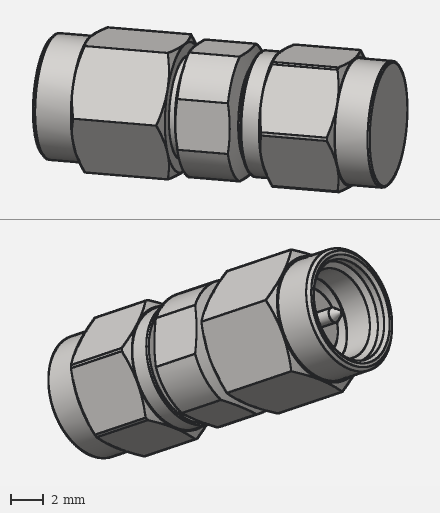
import cadquery as cq
import math

LENGTH = 21.65
FRONT_HEX_START = 2.53
FRONT_HEX_END = 8.57
COLLAR_START = 8.95
COLLAR_END = 13.01
REAR_SLEEVE_START = 13.34
REAR_HEX_START = 14.6
REAR_HEX_END = 19.45

SLEEVE_RADIUS = 3.9
FRONT_LIP_CHAMFER = 0.22
REAR_LIP_CHAMFER = 0.1
FRONT_HEX_FLATS = 8.0
REAR_HEX_FLATS = 7.9
REAR_HEX_CORNER_RADIUS = 4.5
HEX_CHAMFER_ANGLE = 30.0

NECK_RADIUS = 3.18
COLLAR_RADIUS = 4.27
COLLAR_FLATS = 7.9
COLLAR_CHAMFER = 0.41

MOUTH_RADIUS = 3.45
COUNTERBORE_RADIUS = 3.2
COUNTERBORE_DEPTH = 0.75
BORE_RADIUS = 2.85
BORE_DEPTH = 4.33
RELIEF_START = 2.99
RELIEF_STEP = COUNTERBORE_RADIUS - BORE_RADIUS

BOSS_RADIUS = 2.23
BOSS_CHAMFER = 0.09
BOSS_FACE_X = 3.1

PIN_RADIUS = 0.48
PIN_TIP_RADIUS = 0.09
PIN_TIP_X = 0.82
PIN_POINT_LENGTH = 0.65


def revolve_about_x(profile):
    """Solid of revolution about X from (x, radius) points; the axis closes the profile."""
    points = [(profile[0][0], 0.0)] + profile + [(profile[-1][0], 0.0)]
    return cq.Workplane("XY").polyline(points).close().revolve(360, (0, 0, 0), (1, 0, 0))


def chamfered_cylinder(start, end, radius, axial_cut, radial_cut):
    """Cylinder along X with the same cone-shaped bevel at both ends."""
    return revolve_about_x([
        (start, radius - radial_cut),
        (start + axial_cut, radius),
        (end - axial_cut, radius),
        (end, radius - radial_cut),
    ])


def hex_nut(start, end, across_flats, corner_radius):
    """Hexagon with flats on +Z and -Z and both end faces coned down to a circle."""
    corner_diameter = across_flats / math.cos(math.pi / 6)
    prism = (
        cq.Workplane("YZ", origin=(start, 0, 0))
        .polygon(6, corner_diameter)
        .extrude(end - start)
    )
    radial_cut = corner_radius - across_flats / 2
    axial_cut = radial_cut * math.tan(math.radians(HEX_CHAMFER_ANGLE))
    return prism.intersect(chamfered_cylinder(start, end, corner_radius, axial_cut, radial_cut))


def collar():
    """Round collar with four flats and coned ends that run down to the necks."""
    radial_cut = COLLAR_RADIUS - NECK_RADIUS
    blank = chamfered_cylinder(COLLAR_START, COLLAR_END, COLLAR_RADIUS, COLLAR_CHAMFER, radial_cut)
    square = (
        cq.Workplane("YZ", origin=(COLLAR_START, 0, 0))
        .rect(COLLAR_FLATS, COLLAR_FLATS)
        .extrude(COLLAR_END - COLLAR_START)
    )
    return blank.intersect(square)


def socket():
    """Stepped cavity that opens at the front end, widened behind a 45 degree step."""
    return revolve_about_x([
        (0, MOUTH_RADIUS),
        (MOUTH_RADIUS - COUNTERBORE_RADIUS, COUNTERBORE_RADIUS),
        (COUNTERBORE_DEPTH, COUNTERBORE_RADIUS),
        (COUNTERBORE_DEPTH + COUNTERBORE_RADIUS - BORE_RADIUS, BORE_RADIUS),
        (RELIEF_START, BORE_RADIUS),
        (RELIEF_START + RELIEF_STEP, BORE_RADIUS + RELIEF_STEP),
        (BORE_DEPTH, BORE_RADIUS + RELIEF_STEP),
    ])


def boss_and_pin():
    """Insulator boss on the socket floor with the pointed contact pin at its centre."""
    return revolve_about_x([
        (PIN_TIP_X, PIN_TIP_RADIUS),
        (PIN_TIP_X + PIN_POINT_LENGTH, PIN_RADIUS),
        (BOSS_FACE_X, PIN_RADIUS),
        (BOSS_FACE_X, BOSS_RADIUS - BOSS_CHAMFER),
        (BOSS_FACE_X + BOSS_CHAMFER, BOSS_RADIUS),
        (BORE_DEPTH, BOSS_RADIUS),
    ])


def front_nut():
    """Sleeve with a sharp-cornered hexagon at its back end."""
    sharp_corner_radius = FRONT_HEX_FLATS / 2 / math.cos(math.pi / 6)
    sleeve = chamfered_cylinder(0, FRONT_HEX_END, SLEEVE_RADIUS, FRONT_LIP_CHAMFER, FRONT_LIP_CHAMFER)
    return sleeve.union(hex_nut(FRONT_HEX_START, FRONT_HEX_END, FRONT_HEX_FLATS, sharp_corner_radius))


def rear_nut():
    """Sleeve with a hexagon part way along, its corners turned down to a cylinder."""
    sleeve = chamfered_cylinder(REAR_SLEEVE_START, LENGTH, SLEEVE_RADIUS, REAR_LIP_CHAMFER, REAR_LIP_CHAMFER)
    return sleeve.union(hex_nut(REAR_HEX_START, REAR_HEX_END, REAR_HEX_FLATS, REAR_HEX_CORNER_RADIUS))


def neck():
    """Core cylinder that joins the two nuts through the collar."""
    return (
        cq.Workplane("YZ", origin=(BORE_DEPTH, 0, 0))
        .circle(NECK_RADIUS)
        .extrude(REAR_HEX_START - BORE_DEPTH)
    )


body = front_nut().union(neck()).union(collar()).union(rear_nut())
result = body.cut(socket()).union(boss_and_pin())